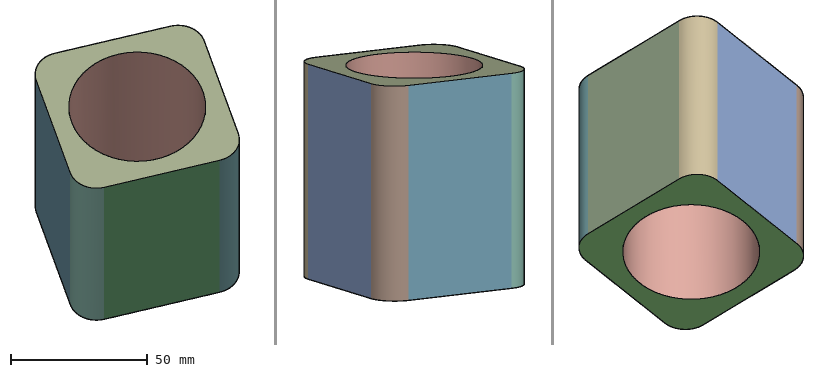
import cadquery as cq

side = 64.0
height = 80.0
corner_radius = 10.0
bore_diameter = 50.0

block = cq.Workplane("XY").rect(side, side).extrude(height).edges("|Z").fillet(corner_radius)

result = block.faces(">Z").workplane().hole(bore_diameter)